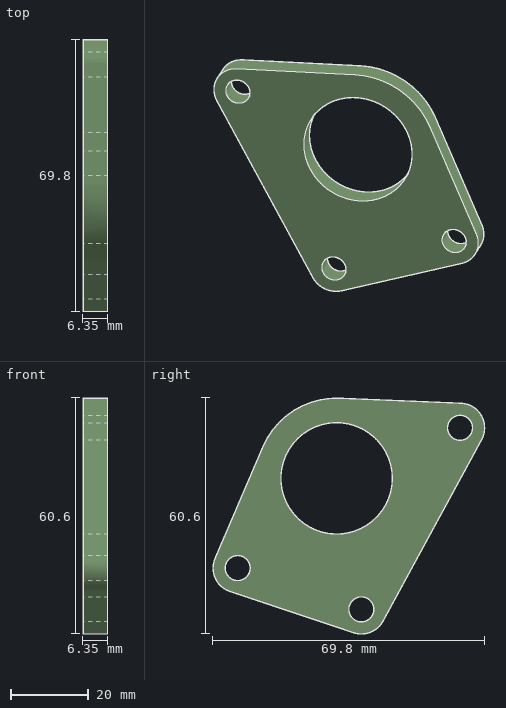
import cadquery as cq
import math

thickness = 6.35
bore_diameter = 28.55
bolt_hole_diameter = 6.35
corner_radius = 6.35
rim_width = 6.35
bore_center = (0, 0)
bolt_centers = [(-25.4, -23.05), (6.35, -33.65), (31.7, 13.0)]

corners = [(bore_center, bore_diameter / 2 + rim_width)]
corners += [(center, corner_radius) for center in bolt_centers]


def tangent_angle(first, second):
    """Direction from each center to its contact point on the shared outer tangent."""
    (y1, z1), radius1 = first
    (y2, z2), radius2 = second
    distance = math.hypot(y2 - y1, z2 - z1)
    heading = math.atan2(z2 - z1, y2 - y1)
    return heading - math.acos((radius1 - radius2) / distance)


def point_on(corner, angle):
    """Point on a corner circle at the given angle."""
    (y, z), radius = corner
    return (y + radius * math.cos(angle), z + radius * math.sin(angle))


def plate_outline():
    """Closed outline of corner arcs joined by their common tangents."""
    count = len(corners)
    leaving = [tangent_angle(corners[i], corners[(i + 1) % count]) for i in range(count)]
    outline = cq.Workplane("YZ").moveTo(*point_on(corners[-1], leaving[-1]))
    for i, corner in enumerate(corners):
        start = leaving[i - 1]
        sweep = (leaving[i] - start) % (2 * math.pi)
        outline = outline.lineTo(*point_on(corner, start))
        outline = outline.threePointArc(
            point_on(corner, start + sweep / 2), point_on(corner, start + sweep)
        )
    return outline.close()


def through_holes(centers, diameter):
    """Cylinders that cut through the full thickness."""
    return cq.Workplane("YZ").pushPoints(centers).circle(diameter / 2).extrude(thickness)


plate = plate_outline().extrude(thickness)
plate = plate.cut(through_holes([bore_center], bore_diameter))
result = plate.cut(through_holes(bolt_centers, bolt_hole_diameter))